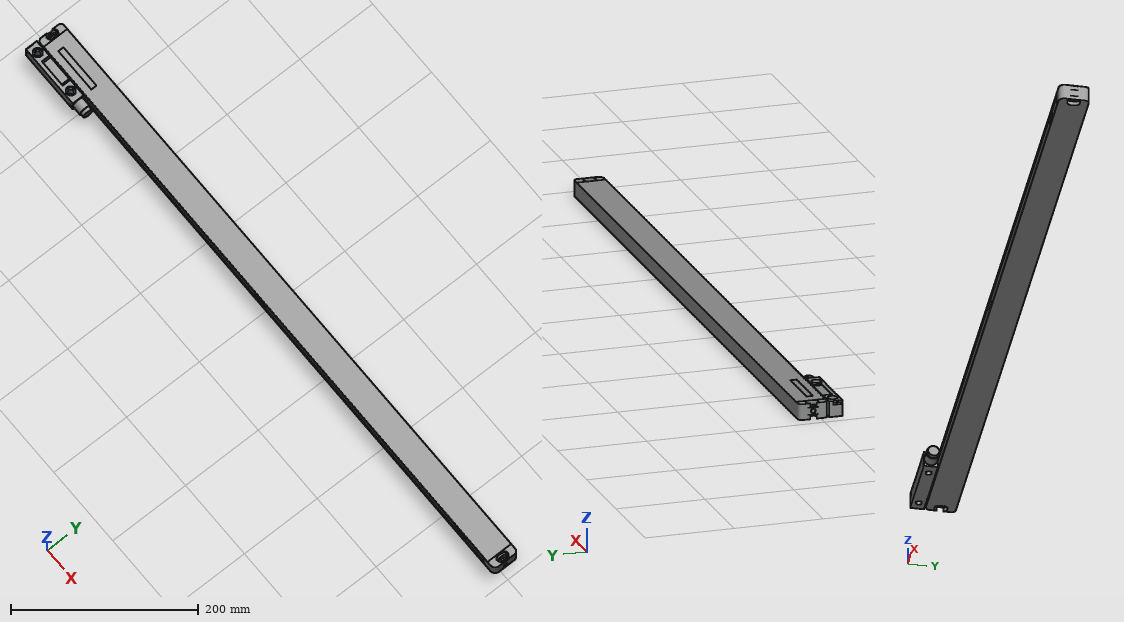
import cadquery as cq


OVERALL_LENGTH = 775.0
OVERALL_DEPTH = 49.0
HEIGHT = 18.0
MID_HEIGHT = HEIGHT / 2

SCALE_DEPTH = 32.7
SCALE_BACK = OVERALL_DEPTH
SCALE_FRONT = SCALE_BACK - SCALE_DEPTH
SCALE_MIDDLE = (SCALE_BACK + SCALE_FRONT) / 2
LEFT_CORNER_RADIUS = 4.7
RIGHT_FRONT_RADIUS = 6.6
RIGHT_BACK_RADIUS = 4.7

CHANNEL_START = 10.0
CHANNEL_END = OVERALL_LENGTH - 17.5
CHANNEL_DEPTH = 1.0
LIP_THICKNESS = 1.5

CHANNEL_BARS = ((366.5, 5.2), (709.5, 12.8))
BAR_LENGTH = 18.5
BAR_HEIGHT = 1.0
BAR_RISE = 0.6

LEFT_CAP_LENGTH = 9.9
RIGHT_CAP_LENGTH = 11.4
CAP_STEP = 0.1

LEFT_SLOT_X = 4.8
RIGHT_SLOT_X = OVERALL_LENGTH - 6.0
SLOT_LENGTH = 10.0
SLOT_WIDTH = 4.6
SLOT_RECESS_LENGTH = 14.0
SLOT_RECESS_WIDTH = 10.2
SLOT_RECESS_DEPTH = 5.0

PORT_DIAMETER = 5.2
PORT_DEPTH = 1.2

LABEL_START = 23.5
LABEL_LENGTH = 56.0
LABEL_BACK = SCALE_MIDDLE
LABEL_WIDTH = 7.0
LABEL_DEPTH = 0.3

AIR_GAP = 1.3
HEAD_LENGTH = 79.5
HEAD_BACK = SCALE_FRONT - AIR_GAP
HEAD_MIDDLE = HEAD_BACK / 2
HEAD_HOLE_X = (10.9, 67.0)
HEAD_HOLE_DIAMETER = 6.5
HEAD_BORE_DIAMETER = 11.0
HEAD_BORE_DEPTH = 5.0

NOTCH_LENGTH = 4.8
NOTCH_HEIGHT = 2.2
NOTCH_DEPTH = 0.3
NOTCH_EDGE_DISTANCE = 2.2
END_NOTCH_REACH = 10.5

DIP_START = 21.5
DIP_END = 57.0
DIP_RAMP = 2.0
DIP_DEPTH = 0.8
DIP_STRIP_DEPTH = 0.4
DIP_STRIP_WIDTH = 4.7

OUTLET_DIAMETER = HEAD_BACK - 0.5
OUTLET_LENGTH = 12.0
COLLAR_DIAMETER = OUTLET_DIAMETER - 2.0
COLLAR_LENGTH = 4.7


def block(x, y, z, length, depth, height):
    """Box given by its lowest corner and its sizes."""
    return cq.Workplane("XY").box(length, depth, height, centered=False).translate((x, y, z))


def cap_slot(x):
    """Cutter for one mounting slot: a through slot with a wider recess at both faces."""
    cutter = (
        cq.Workplane("XY")
        .center(x, SCALE_MIDDLE)
        .slot2D(SLOT_LENGTH, SLOT_WIDTH, 90)
        .extrude(HEIGHT)
    )
    for bottom in (0, HEIGHT - SLOT_RECESS_DEPTH):
        recess = (
            cq.Workplane("XY", origin=(x, SCALE_MIDDLE, bottom))
            .slot2D(SLOT_RECESS_LENGTH, SLOT_RECESS_WIDTH, 90)
            .extrude(SLOT_RECESS_DEPTH)
        )
        cutter = cutter.union(recess)
    return cutter


def make_scale():
    """Scale unit: rail with its two end caps."""
    scale = block(0, SCALE_FRONT, 0, OVERALL_LENGTH, SCALE_DEPTH, HEIGHT)
    scale = scale.edges("|Z and <X").fillet(LEFT_CORNER_RADIUS)
    scale = scale.edges("|Z and >X and <Y").fillet(RIGHT_FRONT_RADIUS)
    scale = scale.edges("|Z and >X and >Y").fillet(RIGHT_BACK_RADIUS)

    rail_length = OVERALL_LENGTH - LEFT_CAP_LENGTH - RIGHT_CAP_LENGTH
    rail_top = HEIGHT - CAP_STEP
    scale = scale.cut(block(LEFT_CAP_LENGTH, SCALE_FRONT, rail_top, rail_length, SCALE_DEPTH, CAP_STEP))

    channel_length = CHANNEL_END - CHANNEL_START
    channel_height = HEIGHT - 2 * LIP_THICKNESS
    scale = scale.cut(
        block(CHANNEL_START, SCALE_FRONT, LIP_THICKNESS, channel_length, CHANNEL_DEPTH, channel_height)
    )

    channel_floor = SCALE_FRONT + CHANNEL_DEPTH
    for x, middle in CHANNEL_BARS:
        bottom = middle - BAR_HEIGHT / 2
        scale = scale.union(
            block(x, channel_floor - BAR_RISE, bottom, BAR_LENGTH, BAR_RISE, BAR_HEIGHT)
        )

    for x in (LEFT_SLOT_X, RIGHT_SLOT_X):
        scale = scale.cut(cap_slot(x))
    port = (
        cq.Workplane("YZ", origin=(0, SCALE_MIDDLE, MID_HEIGHT))
        .circle(PORT_DIAMETER / 2)
        .extrude(PORT_DEPTH)
    )
    scale = scale.cut(port)

    label_front = LABEL_BACK - LABEL_WIDTH
    label_floor = rail_top - LABEL_DEPTH
    return scale.cut(
        block(LABEL_START, label_front, label_floor, LABEL_LENGTH, LABEL_WIDTH, LABEL_DEPTH)
    )


def dip_cutter(depth, front, back):
    """Trapezoid dip in the top face, reaching from `front` to `back` along Y."""
    floor = HEIGHT - depth
    return (
        cq.Workplane("XZ", origin=(0, back, 0))
        .moveTo(DIP_START, HEIGHT)
        .lineTo(DIP_START + DIP_RAMP, floor)
        .lineTo(DIP_END - DIP_RAMP, floor)
        .lineTo(DIP_END, HEIGHT)
        .close()
        .extrude(back - front)
    )


def make_head():
    """Reading head: block with two screw holes, a dip between them and a cable outlet."""
    head = block(0, 0, 0, HEAD_LENGTH, HEAD_BACK, HEIGHT)
    head = head.cut(dip_cutter(DIP_STRIP_DEPTH, 0, DIP_STRIP_WIDTH))
    head = head.cut(dip_cutter(DIP_DEPTH, DIP_STRIP_WIDTH, HEAD_BACK))
    for x in HEAD_HOLE_X:
        hole = (
            cq.Workplane("XY", origin=(x, HEAD_MIDDLE, 0))
            .circle(HEAD_HOLE_DIAMETER / 2)
            .extrude(HEIGHT)
        )
        bore = (
            cq.Workplane("XY", origin=(x, HEAD_MIDDLE, HEIGHT - HEAD_BORE_DEPTH))
            .circle(HEAD_BORE_DIAMETER / 2)
            .extrude(HEAD_BORE_DEPTH)
        )
        head = head.cut(hole).cut(bore)

    upper_notch = HEIGHT - NOTCH_EDGE_DISTANCE - NOTCH_HEIGHT
    lower_notch = NOTCH_EDGE_DISTANCE
    right_notch = HEAD_LENGTH - NOTCH_LENGTH
    head = head.cut(block(0, 0, upper_notch, NOTCH_LENGTH, NOTCH_DEPTH, NOTCH_HEIGHT))
    head = head.cut(block(0, 0, upper_notch, NOTCH_DEPTH, END_NOTCH_REACH, NOTCH_HEIGHT))
    head = head.cut(block(right_notch, 0, lower_notch, NOTCH_LENGTH, NOTCH_DEPTH, NOTCH_HEIGHT))

    outlet = (
        cq.Workplane("YZ", origin=(HEAD_LENGTH, HEAD_MIDDLE, MID_HEIGHT))
        .circle(OUTLET_DIAMETER / 2)
        .extrude(OUTLET_LENGTH)
        .faces(">X")
        .workplane()
        .circle(COLLAR_DIAMETER / 2)
        .extrude(COLLAR_LENGTH)
    )
    return head.union(outlet)


scale_unit = make_scale()
reading_head = make_head()

result = cq.Compound.makeCompound([scale_unit.val(), reading_head.val()])